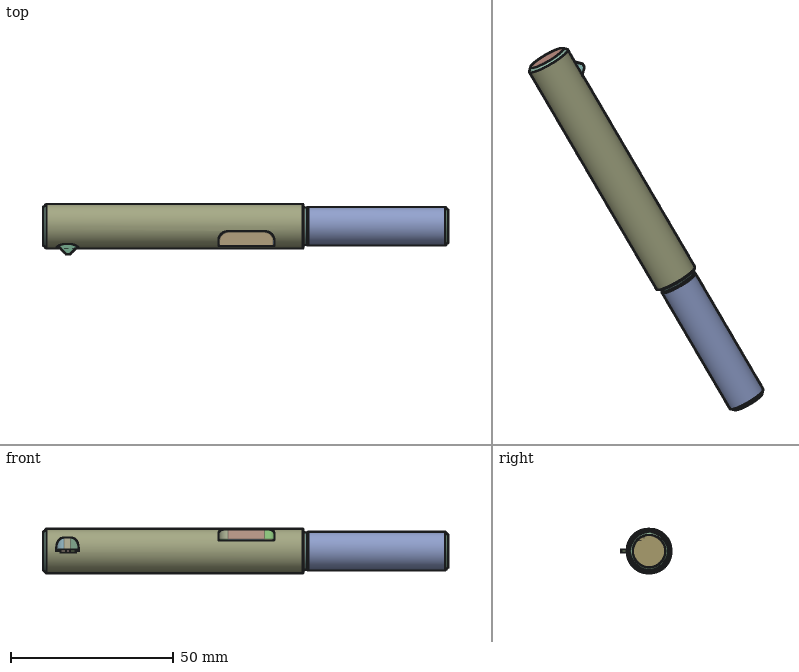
import cadquery as cq
import math

total_length = 125.0
body_length = 80.3
body_diameter = 13.8
shank_diameter = 12.0
neck_diameter = 11.6
end_chamfer = 1.0

shoulder_chamfer = 0.3
neck_fillet = 0.5
neck_end = 81.4
shank_start = 81.8

clamp_center_x = 62.7
clamp_length = 17.3
clamp_back_y = -1.5
clamp_floor_z = 3.3
clamp_corner_radius = 3.0
clamp_floor_fillet = 0.4

chip_center_x = 7.5
chip_length = 8.0
chip_back_y = -5.5
chip_floor_z = 0.0
chip_corner_radius = 3.0

blade_center_x = 7.7
blade_tip_y = -8.64
blade_thickness = 1.0
blade_tip_width = 1.2
blade_flank_angle = 45.0
blade_root_y = -3.0

body_radius = body_diameter / 2
shank_radius = shank_diameter / 2
neck_radius = neck_diameter / 2


def make_bar():
    """Revolve the stepped bar with its chamfers and neck about the X axis."""
    fillet_offset = neck_fillet * (1 - math.sqrt(0.5))
    profile = (
        cq.Workplane("XY")
        .moveTo(0, 0)
        .lineTo(0, body_radius - end_chamfer)
        .lineTo(end_chamfer, body_radius)
        .lineTo(body_length - shoulder_chamfer, body_radius)
        .lineTo(body_length, body_radius - shoulder_chamfer)
        .lineTo(body_length, neck_radius + neck_fillet)
        .threePointArc(
            (body_length + fillet_offset, neck_radius + fillet_offset),
            (body_length + neck_fillet, neck_radius),
        )
        .lineTo(neck_end, neck_radius)
        .lineTo(shank_start, shank_radius)
        .lineTo(total_length - end_chamfer, shank_radius)
        .lineTo(total_length, shank_radius - end_chamfer)
        .lineTo(total_length, 0)
        .close()
    )
    return profile.revolve(360, (0, 0, 0), (1, 0, 0))


def make_pocket(center_x, length, back_y, floor_z, corner_radius):
    """Pocket cutter with two rounded back corners, reaching out past -Y and +Z."""
    depth = body_diameter
    return (
        cq.Workplane("XY", origin=(center_x, back_y - depth / 2, floor_z))
        .rect(length, depth)
        .extrude(body_diameter)
        .edges("|Z and >Y")
        .fillet(corner_radius)
    )


def make_blade():
    """Wedge-shaped blade, rooted inside the body."""
    tip_half = blade_tip_width / 2
    flank_run = (blade_root_y - blade_tip_y) * math.tan(math.radians(blade_flank_angle))
    root_half = tip_half + flank_run
    return (
        cq.Workplane("XY", origin=(blade_center_x, 0, -blade_thickness / 2))
        .moveTo(-tip_half, blade_tip_y)
        .lineTo(tip_half, blade_tip_y)
        .lineTo(root_half, blade_root_y)
        .lineTo(-root_half, blade_root_y)
        .close()
        .extrude(blade_thickness)
    )


clamp_pocket = make_pocket(
    clamp_center_x, clamp_length, clamp_back_y, clamp_floor_z, clamp_corner_radius
)
clamp_pocket = clamp_pocket.faces("<Z").edges("not <Y").fillet(clamp_floor_fillet)
chip_pocket = make_pocket(
    chip_center_x, chip_length, chip_back_y, chip_floor_z, chip_corner_radius
)
result = make_bar().cut(clamp_pocket).cut(chip_pocket).union(make_blade())